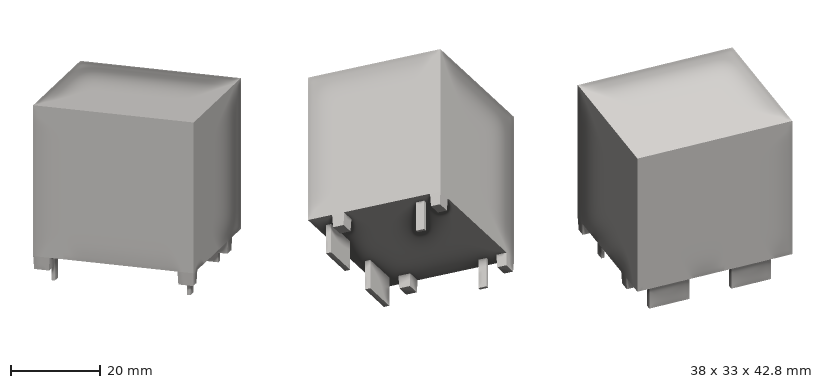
import cadquery as cq

CASE_LENGTH = 38.0
CASE_WIDTH = 33.0
OVERALL_HEIGHT = 42.8
TERMINAL_DROP = 7.1
CASE_HEIGHT = OVERALL_HEIGHT - TERMINAL_DROP

FOOT_LENGTH = 3.85
FOOT_DROP = 3.1
FOOT_DRAFT_ANGLE = 3.0
FRONT_FOOT_WIDTH = 2.55
REAR_FOOT_WIDTH = 2.95
FRONT_FOOT_Y = (FRONT_FOOT_WIDTH - CASE_WIDTH) / 2
REAR_FOOT_Y = 9.0

PIN_THICKNESS = 0.8
PIN_WIDTH = 2.05
PIN_X = 16.05
PIN_Y = -10.25

BLADE_LENGTH = 9.8
BLADE_THICKNESS = 1.33
BLADE_X = 10.05
BLADE_Y = 13.3


def terminal(length, width, x, y):
    """Straight rectangular terminal hanging from the case underside."""
    bar = cq.Workplane("XY").box(length, width, TERMINAL_DROP, centered=(True, True, False))
    return bar.translate((x, y, -TERMINAL_DROP))


def foot(side, width, y):
    """Foot with drafted sides, widest where it joins the case."""
    block = cq.Workplane("XY").rect(FOOT_LENGTH, width).extrude(-FOOT_DROP, taper=FOOT_DRAFT_ANGLE)
    return block.translate((side * (CASE_LENGTH - FOOT_LENGTH) / 2, y, 0))


result = cq.Workplane("XY").box(CASE_LENGTH, CASE_WIDTH, CASE_HEIGHT, centered=(True, True, False))

for side in (-1, 1):
    result = result.union(foot(side, FRONT_FOOT_WIDTH, FRONT_FOOT_Y))
    result = result.union(foot(side, REAR_FOOT_WIDTH, REAR_FOOT_Y))
    result = result.union(terminal(PIN_THICKNESS, PIN_WIDTH, side * PIN_X, PIN_Y))
    result = result.union(terminal(BLADE_LENGTH, BLADE_THICKNESS, side * BLADE_X, BLADE_Y))